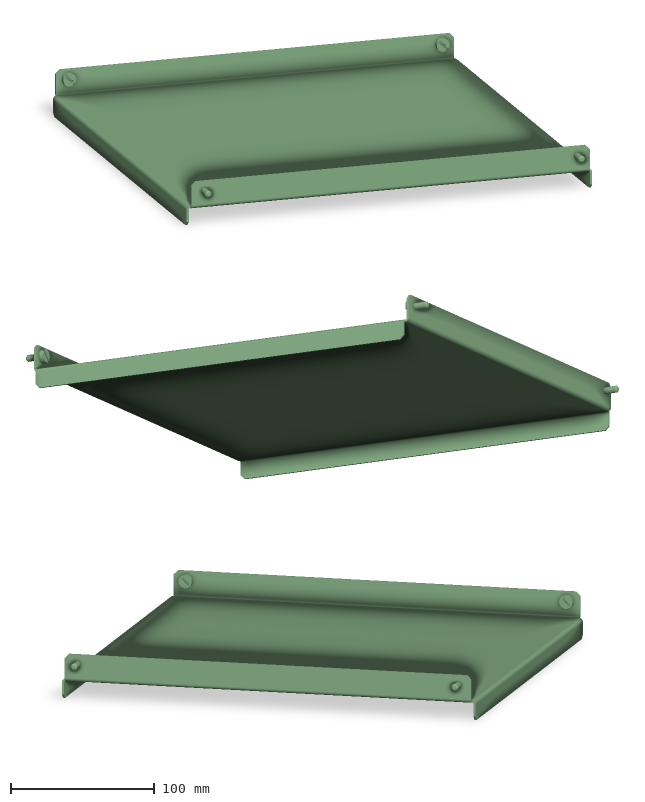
import cadquery as cq
import math

pin_span = 319.0
tray_size = 298.0
total_height = 32.5

sheet = 1.5
bend_radius = 2.6
inner_bend_radius = bend_radius - sheet
corner_chamfer = 3.0

up_flange_height = 18.2
top_z = total_height / 2
bottom_z = -total_height / 2
floor_z = top_z - up_flange_height
underside_z = floor_z - sheet

half_tray = tray_size / 2
bend_start = half_tray - bend_radius
flange_inner = half_tray - sheet

shank_diameter = 4.8
shank_length = pin_span / 2 - flange_inner
tip_chamfer = 1.0
shoulder_diameter = 6.5
head_diameter = 9.5
head_length = 3.5
slot_width = 2.0
slot_depth = 2.0
slot_angle = 45
pin_y = 137.2
pin_drop = 7.0
pin_z = top_z - pin_drop


def make_flange(outer_z, tip_z):
    """A bend and its wall on the +X edge, from the sheet face at outer_z to the free edge at tip_z."""
    turn = 1 if tip_z > outer_z else -1
    inner_z = outer_z + turn * sheet
    bend_end_z = outer_z + turn * bend_radius

    def bend_middle(radius):
        offset = radius * math.sqrt(0.5)
        return (bend_start + offset, bend_end_z - turn * offset)

    flange = (
        cq.Workplane("XZ")
        .moveTo(bend_start, outer_z)
        .threePointArc(bend_middle(bend_radius), (half_tray, bend_end_z))
        .lineTo(half_tray, tip_z)
        .lineTo(flange_inner, tip_z)
        .lineTo(flange_inner, bend_end_z)
        .threePointArc(bend_middle(inner_bend_radius), (bend_start, inner_z))
        .close()
        .extrude(bend_start, both=True)
    )
    tip_face = ">Z" if turn == 1 else "<Z"
    return flange.faces(tip_face).edges("|X").chamfer(corner_chamfer)


def make_tray():
    """A square floor with two flanges up at its X ends and two flanges down at its Y ends."""
    tray = cq.Workplane("XY", origin=(0, 0, underside_z)).rect(2 * bend_start, 2 * bend_start).extrude(sheet)
    up_flange = make_flange(underside_z, top_z)
    down_flange = make_flange(floor_z, bottom_z)
    for angle in (0, 180):
        tray = tray.union(up_flange.rotate((0, 0, 0), (0, 0, 1), angle))
        tray = tray.union(down_flange.rotate((0, 0, 0), (0, 0, 1), angle + 90))
    pin_holes = (
        cq.Workplane("YZ")
        .pushPoints([(-pin_y, pin_z), (pin_y, pin_z)])
        .circle(shoulder_diameter / 2)
        .extrude(half_tray, both=True)
    )
    return tray.cut(pin_holes)


def make_pin():
    """A slotted-head pin along +X, with the underside of its head at X = 0."""
    shank = cq.Workplane("YZ").circle(shank_diameter / 2).extrude(shank_length)
    shank = shank.faces(">X").chamfer(tip_chamfer)
    shoulder = cq.Workplane("YZ").circle(shoulder_diameter / 2).extrude(sheet)
    head = cq.Workplane("YZ").circle(head_diameter / 2).extrude(-head_length)
    slot = (
        cq.Workplane("YZ", origin=(-head_length, 0, 0))
        .transformed(rotate=(0, 0, slot_angle))
        .rect(2 * head_diameter, slot_width)
        .extrude(slot_depth)
    )
    return shank.union(shoulder).union(head).cut(slot)


tray = make_tray()

pins = []
for y in (-pin_y, pin_y):
    right_pin = make_pin().translate((flange_inner, -y, pin_z))
    left_pin = right_pin.rotate((0, 0, 0), (0, 0, 1), 180)
    pins.append(right_pin.solids().val())
    pins.append(left_pin.solids().val())

result = cq.Compound.makeCompound([tray.solids().val(), *pins])